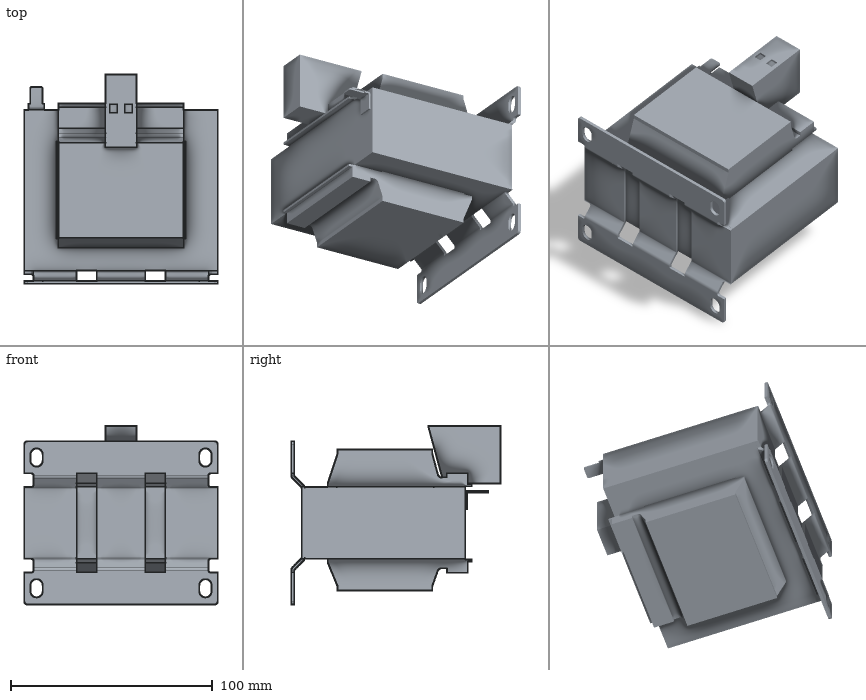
import cadquery as cq
import math


OVERLAP = 0.2

core_width = 96.0
core_height = 35.7
core_front = 6.6
core_back = 86.3
window_half_width = 31.9
window_front = 22.5
window_back = 70.7

coil_width = 62.1
coil_front = 18.1
coil_top_front = 22.9
coil_top_back = 70.0
coil_top = 36.5
coil_bottom = 33.6
coil_shoulder = 19.7
coil_crown = 2.3
groove_back = 77.2
groove_height = 22.5
groove_radius = 2.0
back_slope_foot = 73.1
rail_back = 87.6
rail_height = 24.7
lip_back = 89.6
lip_low = 18.1
lip_high = 19.2

sheet = 1.6
bracket_height = 81.0
foot_slope = 45.0
foot_bend = 22.7
foot_bend_radius = 2.1
plate_bend_radius = 0.5
gap_low = 17.9
gap_high = 24.5
end_notch_depth = 4.6
end_notch_radius = 1.0
strap_slot_width = 10.0
strap_slot_x = 17.0
foot_corner_radius = 1.6
mount_hole_width = 5.9
mount_hole_length = 8.9
mount_hole_x = 41.9
mount_hole_z = 32.4

block_width = 15.4
block_back = 103.9
block_top = 48.1
block_bottom = 19.5
block_top_front = 67.8
block_foot_front = 74.8
socket_x = 3.7
socket_y = 87.1
socket_width = 3.8
socket_length = 4.3
socket_depth = 1.0

tab_x = -42.0
tab_sheet = 0.8
tab_top = 15.9
tab_bottom = 6.8
tab_base_width = 8.0
tab_blade_width = 6.2
tab_base_back = 89.5
tab_end = 97.8
tab_corner = 1.0
tab_bend_radius = 1.0


def extrude_across(points, width):
    """Extrude a (Y, Z) outline to both sides of X = 0."""
    return cq.Workplane("YZ").polyline(points).close().extrude(width / 2, both=True)


def box_between(x_range, y_range, z_range):
    """Box given by its two limits on each axis."""
    limits = (x_range, y_range, z_range)
    sizes = [high - low for low, high in limits]
    return cq.Workplane("XY").box(*sizes, centered=False).translate(tuple(low for low, _ in limits))


def make_core():
    half_width = core_width / 2
    half_height = core_height / 2
    z_range = (-half_height, half_height)
    body = box_between((-half_width, half_width), (core_front, core_back), z_range)
    window = box_between((-window_half_width, window_half_width), (window_front, window_back), z_range)
    return body.cut(window)


def coil_half(top):
    """Upper half of the coil: flat top, sloped ends, and a grooved rail with a lip at the back."""
    inner = core_height / 2 - OVERLAP
    points = [
        (coil_front, inner),
        (coil_front, coil_shoulder),
        (coil_top_front, top - coil_crown),
        (coil_top_front, top),
        (coil_top_back, top),
        (coil_top_back, top - coil_crown),
        (back_slope_foot, groove_height),
        (groove_back, groove_height),
        (groove_back, rail_height),
        (rail_back, rail_height),
        (rail_back, lip_high),
        (lip_back, lip_high),
        (lip_back, lip_low),
        (core_back, lip_low),
        (core_back, inner),
    ]
    half = extrude_across(points, coil_width)
    groove_edge = cq.selectors.NearestToPointSelector((0, back_slope_foot, groove_height))
    return half.edges("|X").edges(groove_edge).fillet(groove_radius)


def make_coil():
    half_width = coil_width / 2
    half_height = core_height / 2
    filling = box_between(
        (-half_width, half_width),
        (window_front - OVERLAP, window_back + OVERLAP),
        (-half_height, half_height),
    )
    lower = coil_half(coil_bottom).mirror("XY")
    return filling.union(coil_half(coil_top)).union(lower)


def make_bracket():
    """Centre plate and two feet joined by slopes, with the gaps cut in the slopes."""
    half_height = bracket_height / 2
    half_width = core_width / 2
    plate_front = core_front - sheet
    miter = sheet * math.tan(math.radians(foot_slope / 2))
    plate_bend = foot_bend - plate_front / math.tan(math.radians(foot_slope))
    upper_front = [(plate_front, plate_bend), (0, foot_bend), (0, half_height)]
    upper_back = [
        (sheet, half_height),
        (sheet, foot_bend + miter),
        (core_front, plate_bend + miter),
    ]
    upper = upper_front + upper_back
    lower = [(y, -z) for y, z in reversed(upper)]
    bracket = extrude_across(upper + lower, core_width)

    for side in (1, -1):
        bends = [
            (0, foot_bend, foot_bend_radius),
            (sheet, foot_bend + miter, plate_bend_radius),
            (plate_front, plate_bend, plate_bend_radius),
            (core_front, plate_bend + miter, foot_bend_radius),
        ]
        for y, z, radius in bends:
            bend = cq.selectors.NearestToPointSelector((0, y, side * z))
            bracket = bracket.edges("|X").edges(bend).fillet(radius)

    front = cq.Workplane("XZ")
    for x in (-strap_slot_x, strap_slot_x):
        slot = front.center(x, 0).rect(strap_slot_width, 2 * gap_high).extrude(-core_front)
        bracket = bracket.cut(slot)

    gap_middle = (gap_low + gap_high) / 2
    gap_size = gap_high - gap_low
    for x_side in (-1, 1):
        for z_side in (-1, 1):
            notch = (
                front.center(x_side * half_width, z_side * gap_middle)
                .rect(2 * end_notch_depth, gap_size)
                .extrude(-core_front)
                .edges("|Y")
                .fillet(end_notch_radius)
            )
            run_out = (
                front.center(x_side * half_width, z_side * gap_middle)
                .rect(2 * (end_notch_depth - end_notch_radius), gap_size)
                .extrude(-core_front)
            )
            hole = (
                front.center(x_side * mount_hole_x, z_side * mount_hole_z)
                .slot2D(mount_hole_length, mount_hole_width, 90)
                .extrude(-sheet)
            )
            bracket = bracket.cut(notch).cut(run_out).cut(hole)

    for face in (">Z", "<Z"):
        bracket = bracket.faces(face).edges("|Y").fillet(foot_corner_radius)
    return bracket


def make_terminal_block():
    points = [
        (block_back, block_bottom),
        (block_back, block_top),
        (block_top_front, block_top),
        (block_foot_front, groove_height),
        (block_foot_front, block_bottom),
    ]
    block = extrude_across(points, block_width)
    sockets = (
        cq.Workplane("XY", origin=(0, 0, block_top))
        .pushPoints([(-socket_x, socket_y), (socket_x, socket_y)])
        .rect(socket_width, socket_length)
        .extrude(-socket_depth)
    )
    return block.cut(sockets)


def make_earth_tab():
    """Angle with its upright leg on the core back and a narrower blade pointing away."""
    half_base = tab_base_width / 2
    half_blade = tab_blade_width / 2
    base_x = (tab_x - half_base, tab_x + half_base)
    blade_x = (tab_x - half_blade, tab_x + half_blade)
    blade_z = (tab_top - tab_sheet, tab_top)
    leg = box_between(base_x, (core_back, core_back + tab_sheet), (tab_bottom, tab_top))
    shelf = box_between(base_x, (core_back, tab_base_back), blade_z)
    angle = leg.union(shelf)
    bend = cq.selectors.NearestToPointSelector((tab_x, core_back, tab_top))
    angle = angle.edges("|X").edges(bend).fillet(tab_bend_radius)
    blade = box_between(blade_x, (tab_base_back - tab_sheet, tab_end), blade_z)
    blade = blade.faces(">Y").edges("|Z").fillet(tab_corner)
    return angle.union(blade)


result = (
    make_core()
    .union(make_coil())
    .union(make_bracket())
    .union(make_terminal_block())
    .union(make_earth_tab())
)